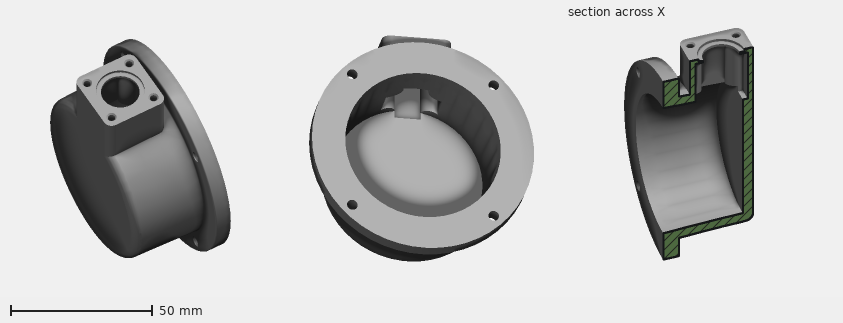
import cadquery as cq
import math

FLANGE_RADIUS = 40.0
FLANGE_THICKNESS = 6.0
FLANGE_EDGE_ROUND = 0.5
MOUNT_CIRCLE_RADIUS = 36.0
MOUNT_HOLE_DIAMETER = 3.8
MOUNT_HOLE_COUNT = 4
MOUNT_START_ANGLE = 45.0

TOTAL_DEPTH = 34.0
CUP_ROOT_RADIUS = 31.8
DRAFT_ANGLE = 2.0
CUP_FRONT_ROUND = 3.0
CUP_ROOT_ROUND = 0.4
CUP_WALL = 4.0

NECK_TOP = 46.5
NECK_WIDTH = 24.7
NECK_DEPTH = 24.0
NECK_CORNER_RADIUS = 3.0
NECK_WALL = 2.2
NECK_BASE = 20.0
PASSAGE_BASE = 24.0

PORT_DIAMETER = 13.7
PORT_RECESS_DIAMETER = 17.2
PORT_RECESS_DEPTH = 1.0
PORT_LIP = 1.0
SCREW_PITCH = 17.2
SCREW_HOLE_DIAMETER = 2.6
SCREW_HOLE_DEPTH = 8.0
SCREW_CHAMFER = 0.5
DRILL_POINT_ANGLE = 118.0
SCREW_BOSS_RADIUS = 4.0

DRAFT_SLOPE = math.tan(math.radians(DRAFT_ANGLE))
CUP_FRONT_RADIUS = CUP_ROOT_RADIUS - (TOTAL_DEPTH - FLANGE_THICKNESS) * DRAFT_SLOPE
NECK_CENTER_Y = -TOTAL_DEPTH + NECK_DEPTH / 2
PASSAGE_TOP = NECK_TOP - PORT_RECESS_DEPTH - PORT_LIP


def revolve_about_y(profile):
    """Revolve a closed (radius, Y) profile a full turn about the Y axis."""
    return profile.close().revolve(360, (0, 0, 0), (0, 1, 0))


def make_flange():
    disc = cq.Workplane("XZ").circle(FLANGE_RADIUS).extrude(FLANGE_THICKNESS)
    return disc.faces("<Y").edges().fillet(FLANGE_EDGE_ROUND)


def make_cup():
    """Solid drafted cup, with a small concave round where it meets the flange."""
    draft = math.radians(DRAFT_ANGLE)
    round_reach = CUP_ROOT_ROUND / math.tan((math.pi / 2 + draft) / 2)
    round_start = (CUP_ROOT_RADIUS + round_reach, -FLANGE_THICKNESS)
    round_end = (
        CUP_ROOT_RADIUS - round_reach * math.sin(draft),
        -FLANGE_THICKNESS - round_reach * math.cos(draft),
    )
    profile = (
        cq.Workplane("XY")
        .lineTo(round_start[0], 0)
        .lineTo(*round_start)
        .radiusArc(round_end, -CUP_ROOT_ROUND)
        .lineTo(CUP_FRONT_RADIUS, -TOTAL_DEPTH)
        .lineTo(0, -TOTAL_DEPTH)
    )
    return revolve_about_y(profile).faces("<Y").edges().fillet(CUP_FRONT_ROUND)


def make_cavity():
    """Drafted hollow of the cup, open through the flange."""
    back_radius = CUP_ROOT_RADIUS + FLANGE_THICKNESS * DRAFT_SLOPE - CUP_WALL
    floor_depth = TOTAL_DEPTH - CUP_WALL
    profile = (
        cq.Workplane("XY")
        .lineTo(back_radius, 0)
        .lineTo(back_radius - floor_depth * DRAFT_SLOPE, -floor_depth)
        .lineTo(0, -floor_depth)
    )
    return revolve_about_y(profile)


def neck_plane(height):
    """Horizontal plane centred on the neck axis."""
    return cq.Workplane("XY", origin=(0, NECK_CENTER_Y, height))


def make_neck():
    block = neck_plane(NECK_BASE).rect(NECK_WIDTH, NECK_DEPTH).extrude(NECK_TOP - NECK_BASE)
    return block.edges("|Z").fillet(NECK_CORNER_RADIUS)


def screw_points(height):
    return neck_plane(height).rect(SCREW_PITCH, SCREW_PITCH, forConstruction=True).vertices()


def make_passage():
    """Square hollow of the neck, leaving a round boss in each corner."""
    height = PASSAGE_TOP - PASSAGE_BASE
    width = NECK_WIDTH - 2 * NECK_WALL
    depth = NECK_DEPTH - 2 * NECK_WALL
    hollow = neck_plane(PASSAGE_BASE).rect(width, depth).extrude(height)
    bosses = screw_points(PASSAGE_BASE).circle(SCREW_BOSS_RADIUS).extrude(height)
    return hollow.cut(bosses)


def cut_mount_holes(body):
    cutters = (
        cq.Workplane("XZ")
        .polarArray(MOUNT_CIRCLE_RADIUS, MOUNT_START_ANGLE, 360, MOUNT_HOLE_COUNT)
        .circle(MOUNT_HOLE_DIAMETER / 2)
        .extrude(FLANGE_THICKNESS)
    )
    return body.cut(cutters)


def cut_port(body):
    recess = neck_plane(NECK_TOP).circle(PORT_RECESS_DIAMETER / 2).extrude(-PORT_RECESS_DEPTH)
    port = neck_plane(NECK_TOP).circle(PORT_DIAMETER / 2).extrude(PASSAGE_TOP - NECK_TOP)
    return body.cut(recess).cut(port)


def cut_screw_holes(body):
    """Blind chamfered holes that end in a conical drill point."""
    hole_radius = SCREW_HOLE_DIAMETER / 2
    mouth_radius = hole_radius + SCREW_CHAMFER
    point_height = hole_radius / math.tan(math.radians(DRILL_POINT_ANGLE / 2))
    down = cq.Vector(0, 0, -1)
    hole = cq.Solid.makeCylinder(hole_radius, SCREW_HOLE_DEPTH, dir=down)
    mouth = cq.Solid.makeCone(mouth_radius, hole_radius, SCREW_CHAMFER, dir=down)
    point = cq.Solid.makeCone(hole_radius, 0, point_height, pnt=down * SCREW_HOLE_DEPTH, dir=down)
    drill = hole.fuse(mouth, point)
    return body.cut(screw_points(NECK_TOP).eachpoint(drill, combine=False))


body = make_flange().union(make_cup()).union(make_neck())
body = body.cut(make_cavity()).cut(make_passage())
body = cut_mount_holes(body)
body = cut_port(body)
result = cut_screw_holes(body)